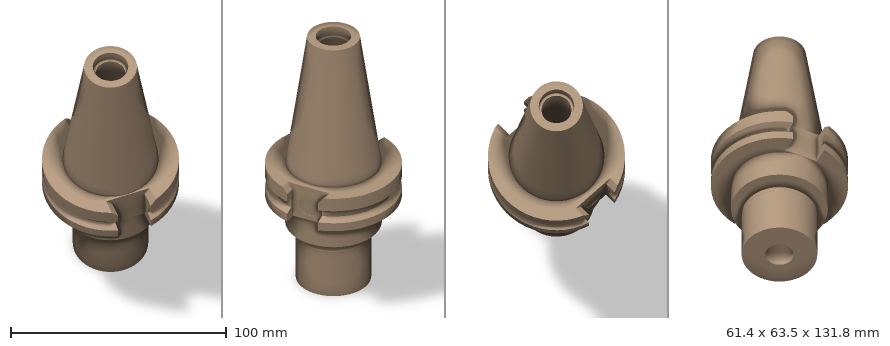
import cadquery as cq

overall_height = 131.8
nut_step_bottom = 24.5
nut_step_height = 0.3
nut_top = 26.7
shoulder_bottom = 30.0
flange_bottom = 44.8
flange_top = 62.6
taper_bottom = 63.6

taper_large_diameter = 44.4
taper_small_diameter = 24.5
flange_diameter = 63.5
shoulder_diameter = 44.8
neck_diameter = 29.2

groove_diameter = 56.3
groove_center_height = 52.5
groove_floor_width = 3.7
groove_mouth_width = 6.6

holder_bore_diameter = 13.8
counterbore_diameter = 16.5
counterbore_depth = 4.9
nut_bore_diameter = 13.2

nut_diameter = 35.0
nut_collar_diameter = 34.8

slot_width = 16.2
slot_chamfer = 2.8
left_slot_floor = 24.9
right_slot_floor = 22.5
slot_height = flange_top - flange_bottom

recess_diameter = 9.7
recess_center_height = 52.3
recess_depth = 0.3


def revolve_profile(points):
    """Revolve a closed (radius, height) outline about the Z axis."""
    return cq.Workplane("XZ").polyline(points).close().revolve(360, (0, 0), (0, 1))


def make_bore(diameter, bottom, top):
    return cq.Workplane("XY").workplane(offset=bottom).circle(diameter / 2).extrude(top - bottom)


def make_drive_slot(side, floor_distance):
    """Cutter for a slot with chamfered upper edges; side is -1 for -X and +1 for +X."""
    half_width = slot_width / 2
    half_mouth = half_width + slot_chamfer
    chamfer_bottom = flange_top - slot_chamfer
    outline = [
        (-half_width, flange_bottom),
        (half_width, flange_bottom),
        (half_width, chamfer_bottom),
        (half_mouth, flange_top),
        (-half_mouth, flange_top),
        (-half_width, chamfer_bottom),
    ]
    plane = cq.Workplane("YZ").workplane(offset=side * floor_distance)
    return plane.polyline(outline).close().extrude(side * flange_diameter / 2)


def make_holder():
    flange_radius = flange_diameter / 2
    groove_radius = groove_diameter / 2
    half_floor = groove_floor_width / 2
    half_mouth = groove_mouth_width / 2
    holder = revolve_profile([
        (0, nut_top),
        (neck_diameter / 2, nut_top),
        (neck_diameter / 2, shoulder_bottom),
        (shoulder_diameter / 2, shoulder_bottom),
        (shoulder_diameter / 2, flange_bottom),
        (flange_radius, flange_bottom),
        (flange_radius, groove_center_height - half_mouth),
        (groove_radius, groove_center_height - half_floor),
        (groove_radius, groove_center_height + half_floor),
        (flange_radius, groove_center_height + half_mouth),
        (flange_radius, flange_top),
        (taper_large_diameter / 2, flange_top),
        (taper_large_diameter / 2, taper_bottom),
        (taper_small_diameter / 2, overall_height),
        (0, overall_height),
    ])

    holder = holder.cut(make_bore(holder_bore_diameter, nut_top, overall_height))
    counterbore_floor = overall_height - counterbore_depth
    holder = holder.cut(make_bore(counterbore_diameter, counterbore_floor, overall_height))

    for side, floor_distance in ((-1, left_slot_floor), (1, right_slot_floor)):
        holder = holder.cut(make_drive_slot(side, floor_distance))

    recess = (
        cq.Workplane("YZ")
        .workplane(offset=-left_slot_floor)
        .center(0, recess_center_height)
        .circle(recess_diameter / 2)
        .extrude(recess_depth)
    )
    return holder.cut(recess)


def make_nut():
    nut = revolve_profile([
        (0, 0),
        (nut_diameter / 2, 0),
        (nut_diameter / 2, nut_step_bottom),
        (nut_collar_diameter / 2, nut_step_bottom + nut_step_height),
        (nut_collar_diameter / 2, nut_top),
        (0, nut_top),
    ])
    return nut.cut(make_bore(nut_bore_diameter, 0, nut_top))


holder = make_holder()
nut = make_nut()
result = cq.Compound.makeCompound([holder.val(), nut.val()])